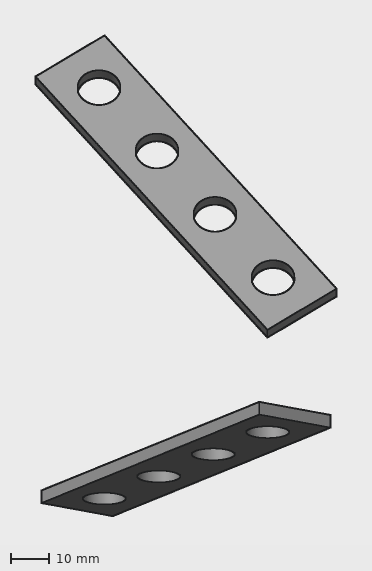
import cadquery as cq

length = 101.6
width = 22.4
thickness = 3.5

hole_count = 4
hole_diameter = 11.2
hole_pitch = length / hole_count

bar = cq.Workplane("XY").box(length, width, thickness)

result = (
    bar.faces(">Z")
    .workplane()
    .rarray(hole_pitch, width, hole_count, 1)
    .hole(hole_diameter)
)